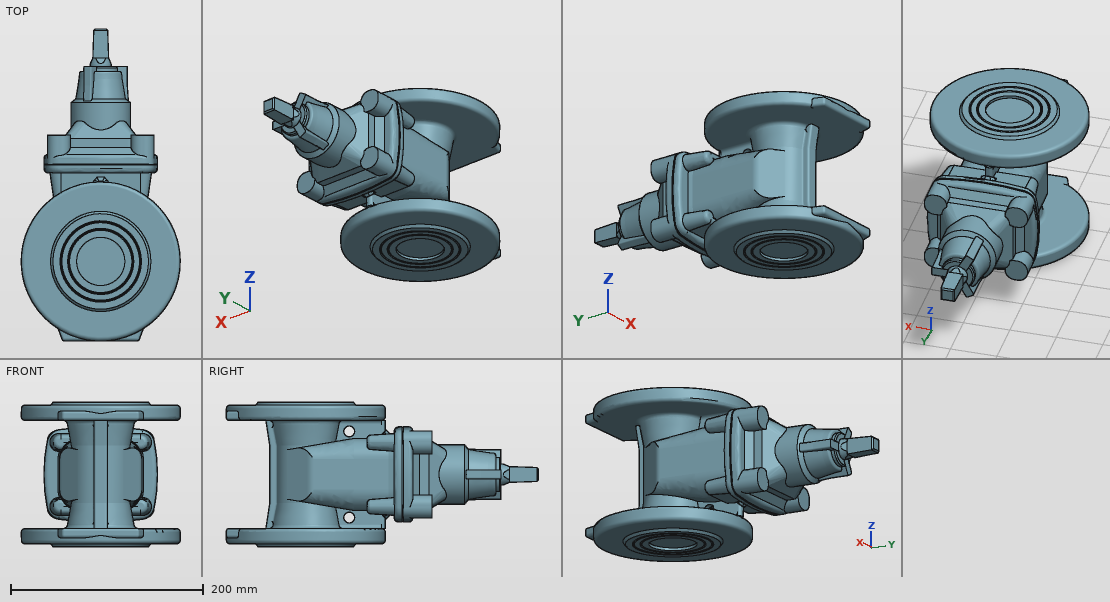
import cadquery as cq
import math


OVERLAP = 1.0
MARGIN = 1.0

FACE_TO_FACE = 150.0
HALF_LENGTH = FACE_TO_FACE / 2

FLANGE_RADIUS = 165.0 / 2
RAISED_HEIGHT = 3.0
FLANGE_THICKNESS = 16.0
FLANGE_OUTER_Z = HALF_LENGTH - RAISED_HEIGHT
FLANGE_INNER_Z = FLANGE_OUTER_Z - FLANGE_THICKNESS
FLANGE_EDGE_FILLET = 4.0
RAISED_BASE_RADIUS = 52.0
RAISED_TOP_RADIUS = 49.5
RECESS_RADIUS = 50.0 / 2
RECESS_DEPTH = 3.0
GROOVE_RADII = (33.3, 41.2)
GROOVE_WIDTH = 2.0
GROOVE_DEPTH = 0.8

FOOT_HALF_TIP = 39.5
FOOT_HALF_ROOT = 45.0
FOOT_ROOT_Y = -67.5
FOOT_HEIGHT = 10.0
FOOT_FILLET = 3.0

PIPE_RADIUS = 30.5
PIPE_STRAIGHT_Z = 30.0
PIPE_END_RADIUS = 34.5
PIPE_CONE_END_Z = 51.5
PIPE_RIB_HALF_WIDTH = 7.0
PIPE_RIB_HEIGHT = 7.0
PIPE_RIB_FILLET = 2.6
PIPE_RIB_ROOT_FILLET = 2.0

BODY_HALF_X = 42.7
BODY_HALF_Z = 37.4
BODY_FLAT_HALF_Z = 16.0
BODY_CORNER = BODY_HALF_Z - BODY_FLAT_HALF_Z
BODY_TAPER_START_Y = 50.0
BODY_END_Y = -20.0
BODY_END_HALF_Z = 25.5
BODY_SHOULDER_Y = 5.0
BODY_SHOULDER_FILLET = 10.0

WEB_HALF_WIDTH = 4.0
WEB_END_FILLET = 3.2
WEB_ROOT_FILLET = 4.0
WEB_HOLE_RADIUS = 11.0 / 2
WEB_HOLE_Y = 45.0
WEB_HOLE_Z = 44.7
WEB_TOE_HALF_WIDTH = 8.0
WEB_TOE_TIP_Y = 87.5
WEB_TOE_BASE_Z = 42.0
WEB_TOE_HEIGHT = 3.9
WEB_TOE_SLOPE = 45.0

JOINT_Y = 100.5
JOINT_BOTTOM_Y = 91.5
JOINT_TOP_Y = 111.0
JOINT_MID_X = 59.0
JOINT_MID_Z = 49.5
JOINT_CORNER_X = 53.0
JOINT_CORNER_Z = 45.0
JOINT_CORNER_FILLET = 14.0
JOINT_TOP_FILLET = 4.5
JOINT_BOTTOM_FILLET = 5.0
JOINT_GROOVE_WIDTH = 1.2
JOINT_GROOVE_DEPTH = 0.6
JOINT_FLARE_Y = 86.0
JOINT_FLARE = 4.0

BOLT_X = 43.4
BOLT_Z = 33.2
BOSS_SIDE = 24.0
BOSS_CORNER = 10.5
BOSS_TOP_Y = 131.0
FINGER_ROOT_RADIUS = 9.3
FINGER_TIP_RADIUS = 7.2
FINGER_LEAN = 2.0
FINGER_TIP_Y = 63.5
FINGER_TIP_FILLET = 4.0
SLAB_DRAFT = 1.8

BOX_HALF_X = 39.0
BOX_HALF_Z = 36.5
BOX_CORNER = 11.0
BOX_SKIRT_Y = 118.0
BOX_SKIRT_GROWTH = 9.0
BOX_TOP_Y = 127.5
BARREL_RADIUS = 62.0 / 2
BARREL_TOP_Y = 164.5
SHOULDER_TOP_Y = 146.0
SHOULDER_TOP_HALF = 25.0
HEAD_BASE_RADIUS = 26.0
HEAD_BASE_Y = 168.6
HEAD_NECK_RADIUS = 22.7
HEAD_NECK_Y = 189.0
HEAD_TOP_RADIUS = 22.0
HEAD_TOP_Y = 197.0
HEAD_TOP_ROUND = 2.5
GLAND_RADIUS = 35.7 / 2
GLAND_TOP_Y = 202.0
GLAND_CHAMFER = 1.4

LUG_COUNT = 3
LUG_HALF_WIDTH = 4.7
LUG_TIP_RADIUS = 27.7
LUG_BASE_TIP_RADIUS = 28.9
LUG_TOP_Y = 202.3
LUG_DRAFT_Y = 182.0
LUG_FILLET = 1.5

STEM_TIP_Y = 241.0
STEM_RADIUS = 22.0 / 2
STEM_NECK_RADIUS = 9.8
STEM_SQUARE_Y = 211.0
STEM_RUNOUT_Y = 205.0
STEM_COLLAR_Y = 204.0
SQUARE_TIP_HALF = 7.3
SQUARE_BASE_HALF = 8.3
SQUARE_RUNOUT_HALF = 10.8
SQUARE_TIP_CHAMFER = 1.5


def section(y):
    """Sketch plane across the stem axis; local x is X, local y is Z, extrusion goes towards -Y."""
    return cq.Workplane("XZ", origin=(0, y, 0))


def turned_about_stem(points):
    """Solid of revolution about Y from (radius, y) points."""
    return cq.Workplane("XY").polyline(points).close().revolve(360, (0, 0, 0), (0, 1, 0))


def turned_about_pipe(points):
    """Solid of revolution about Z from (radius, z) points."""
    return cq.Workplane("XZ").polyline(points).close().revolve(360, (0, 0, 0), (0, 1, 0))


def rounded_loft(low, high):
    """Ruled loft along Y between two (y, half x, half z, corner radius) rounded rectangles."""
    sketches = []
    for y, half_x, half_z, corner in (low, high):
        outline = cq.Sketch().rect(2 * half_x, 2 * half_z).vertices().fillet(corner)
        sketches.append(outline.moved(cq.Location(cq.Vector(0, 0, high[0] - y))))
    return section(high[0]).placeSketch(*sketches).loft(ruled=True)


def both_ends(solid):
    """The solid joined with its mirror image below the XY plane."""
    return solid.union(solid.mirror("XY"))


def make_flange():
    """Upper flange with raised face, blind recess, sealing grooves and a foot on the -Y rim."""
    disc = cq.Workplane("XY", origin=(0, 0, FLANGE_INNER_Z)).circle(FLANGE_RADIUS).extrude(FLANGE_THICKNESS)
    disc = disc.edges().fillet(FLANGE_EDGE_FILLET)
    raised = turned_about_pipe([
        (0, FLANGE_OUTER_Z - OVERLAP), (RAISED_BASE_RADIUS, FLANGE_OUTER_Z - OVERLAP),
        (RAISED_BASE_RADIUS, FLANGE_OUTER_Z),
        (RAISED_TOP_RADIUS, HALF_LENGTH), (0, HALF_LENGTH)])
    foot = (
        cq.Workplane("XY", origin=(0, 0, FLANGE_INNER_Z))
        .polyline([
            (-FOOT_HALF_ROOT, FOOT_ROOT_Y), (-FOOT_HALF_TIP, -FLANGE_RADIUS),
            (FOOT_HALF_TIP, -FLANGE_RADIUS), (FOOT_HALF_ROOT, FOOT_ROOT_Y)])
        .close().extrude(FOOT_HEIGHT)
        .edges("not >Y").fillet(FOOT_FILLET))
    flange = disc.union(raised).union(foot)
    face = cq.Workplane("XY", origin=(0, 0, HALF_LENGTH))
    flange = flange.cut(face.circle(RECESS_RADIUS).extrude(-RECESS_DEPTH))
    for radius in GROOVE_RADII:
        groove = turned_about_pipe([
            (radius - GROOVE_WIDTH / 2, HALF_LENGTH), (radius, HALF_LENGTH - GROOVE_DEPTH),
            (radius + GROOVE_WIDTH / 2, HALF_LENGTH)])
        flange = flange.cut(groove)
    return flange


def make_pipe():
    """Pipe that flares into both flanges, with a rib along its -Y side."""
    flare = FLANGE_INNER_Z - PIPE_CONE_END_Z
    half = (
        cq.Workplane("XZ")
        .moveTo(0, 0).lineTo(PIPE_RADIUS, 0).lineTo(PIPE_RADIUS, PIPE_STRAIGHT_Z)
        .lineTo(PIPE_END_RADIUS, PIPE_CONE_END_Z)
        .radiusArc((PIPE_END_RADIUS + flare, FLANGE_INNER_Z), flare)
        .lineTo(0, FLANGE_INNER_Z).close()
        .revolve(360, (0, 0, 0), (0, 1, 0)))
    half_rib = (
        cq.Workplane("YZ", origin=(-PIPE_RIB_HALF_WIDTH, 0, 0))
        .polyline([
            (0, 0), (-PIPE_RADIUS - PIPE_RIB_HEIGHT, 0), (-PIPE_RADIUS - PIPE_RIB_HEIGHT, PIPE_STRAIGHT_Z),
            (-PIPE_END_RADIUS - PIPE_RIB_HEIGHT, FLANGE_INNER_Z), (0, FLANGE_INNER_Z)])
        .close().extrude(2 * PIPE_RIB_HALF_WIDTH))
    rib = both_ends(half_rib)
    crest = cq.selectors.BoxSelector(
        (-PIPE_RIB_HALF_WIDTH - MARGIN, -PIPE_END_RADIUS - PIPE_RIB_HEIGHT, -FLANGE_INNER_Z + MARGIN),
        (PIPE_RIB_HALF_WIDTH + MARGIN, -PIPE_RADIUS - PIPE_RIB_HEIGHT + MARGIN, FLANGE_INNER_Z - MARGIN))
    rib = rib.edges(crest).edges("not |X").fillet(PIPE_RIB_FILLET)
    pipe = both_ends(half).union(rib)
    for side in (-1, 1):
        root = cq.selectors.BoxSelector(
            (side * (PIPE_RIB_HALF_WIDTH - MARGIN), -PIPE_END_RADIUS, -PIPE_CONE_END_Z + MARGIN),
            (side * (PIPE_RIB_HALF_WIDTH + MARGIN), 0, PIPE_CONE_END_Z - MARGIN))
        pipe = pipe.edges(root).fillet(PIPE_RIB_ROOT_FILLET)
    return pipe


def make_body():
    """Gate housing: rounded box along Y that narrows towards the pipe."""
    full = (BODY_HALF_X, BODY_HALF_Z, BODY_CORNER)
    end = (BODY_HALF_X, BODY_END_HALF_Z, BODY_END_HALF_Z - BODY_FLAT_HALF_Z)
    straight = rounded_loft((BODY_TAPER_START_Y, *full), (JOINT_Y, *full))
    tapered = rounded_loft((BODY_END_Y, *end), (BODY_TAPER_START_Y, *full))
    reach = math.hypot(BODY_HALF_X, BODY_SHOULDER_Y)
    angle = math.atan2(BODY_SHOULDER_Y, BODY_HALF_X) - math.acos(PIPE_RADIUS / reach)
    tangent_x = PIPE_RADIUS * math.cos(angle)
    tangent_y = PIPE_RADIUS * math.sin(angle)
    plan = (
        cq.Workplane("XY", origin=(0, 0, -BODY_HALF_Z))
        .polyline([
            (-BODY_HALF_X, JOINT_Y), (-BODY_HALF_X, BODY_SHOULDER_Y), (-tangent_x, tangent_y),
            (tangent_x, tangent_y), (BODY_HALF_X, BODY_SHOULDER_Y), (BODY_HALF_X, JOINT_Y)])
        .close().extrude(2 * BODY_HALF_Z))
    shoulders = cq.selectors.BoxSelector(
        (-BODY_HALF_X - MARGIN, BODY_SHOULDER_Y - MARGIN, -BODY_HALF_Z - MARGIN),
        (BODY_HALF_X + MARGIN, BODY_SHOULDER_Y + MARGIN, BODY_HALF_Z + MARGIN))
    plan = plan.edges("|Z").edges(shoulders).fillet(BODY_SHOULDER_FILLET)
    return straight.union(tapered).intersect(plan)


def make_web():
    """Upper web between housing and flange, with its lifting hole and sloped toe."""
    web = (
        cq.Workplane("XY")
        .box(2 * WEB_HALF_WIDTH, FLANGE_RADIUS, FLANGE_INNER_Z, centered=(True, False, False))
        .edges(">Y and |Z").fillet(WEB_END_FILLET))
    foot_z = FLANGE_INNER_Z - WEB_ROOT_FILLET
    foot_half = WEB_HALF_WIDTH + WEB_ROOT_FILLET
    root_end = FLANGE_RADIUS - FLANGE_EDGE_FILLET
    root = (
        section(root_end)
        .moveTo(-foot_half, FLANGE_INNER_Z)
        .radiusArc((-WEB_HALF_WIDTH, foot_z), WEB_ROOT_FILLET)
        .lineTo(WEB_HALF_WIDTH, foot_z)
        .radiusArc((foot_half, FLANGE_INNER_Z), WEB_ROOT_FILLET)
        .close().extrude(root_end))
    web = web.union(root)
    toe_start = FLANGE_RADIUS - WEB_END_FILLET
    toe = (
        cq.Workplane("XY", origin=(0, 0, WEB_TOE_BASE_Z))
        .polyline([
            (-WEB_TOE_HALF_WIDTH, toe_start), (WEB_TOE_HALF_WIDTH, toe_start),
            (WEB_TOE_HALF_WIDTH, FLANGE_RADIUS), (WEB_HALF_WIDTH, WEB_TOE_TIP_Y),
            (-WEB_HALF_WIDTH, WEB_TOE_TIP_Y), (-WEB_TOE_HALF_WIDTH, FLANGE_RADIUS)])
        .close().extrude(WEB_TOE_HEIGHT, taper=WEB_TOE_SLOPE))
    hole = (
        cq.Workplane("YZ", origin=(-WEB_HALF_WIDTH, WEB_HOLE_Y, WEB_HOLE_Z))
        .circle(WEB_HOLE_RADIUS).extrude(2 * WEB_HALF_WIDTH))
    return web.union(toe).cut(hole)


def joint_plate(top_y, bottom_y, inset=0.0):
    """Barrel shaped plate across the stem axis, with its outline moved in by the inset."""
    corner_x = JOINT_CORNER_X - inset
    corner_z = JOINT_CORNER_Z - inset
    mid_x = JOINT_MID_X - inset
    mid_z = JOINT_MID_Z - inset
    return (
        section(top_y)
        .moveTo(-corner_x, -corner_z)
        .threePointArc((0, -mid_z), (corner_x, -corner_z))
        .threePointArc((mid_x, 0), (corner_x, corner_z))
        .threePointArc((0, mid_z), (-corner_x, corner_z))
        .threePointArc((-mid_x, 0), (-corner_x, -corner_z))
        .close().extrude(top_y - bottom_y)
        .edges("|Y").fillet(JOINT_CORNER_FILLET - inset))


def make_joint():
    """Bolted joint of housing and bonnet, with a parting groove."""
    upper = joint_plate(JOINT_TOP_Y, JOINT_Y + JOINT_GROOVE_WIDTH / 2)
    upper = upper.faces(">Y").edges().fillet(JOINT_TOP_FILLET)
    lower = joint_plate(JOINT_Y - JOINT_GROOVE_WIDTH / 2, JOINT_BOTTOM_Y)
    lower = lower.faces("<Y").edges().fillet(JOINT_BOTTOM_FILLET)
    groove_floor = joint_plate(JOINT_Y + JOINT_GROOVE_WIDTH, JOINT_Y - JOINT_GROOVE_WIDTH, JOINT_GROOVE_DEPTH)
    flare = rounded_loft(
        (JOINT_FLARE_Y, BODY_HALF_X, BODY_HALF_Z, BODY_CORNER),
        (JOINT_Y, BODY_HALF_X + JOINT_FLARE, BODY_HALF_Z + JOINT_FLARE, BODY_CORNER + JOINT_FLARE))
    return upper.union(groove_floor).union(lower).union(flare)


def make_bolt_bosses():
    """Four bosses above the joint, each with a tapered finger below it."""
    boss = section(BOSS_TOP_Y).rect(BOSS_SIDE, BOSS_SIDE).extrude(BOSS_TOP_Y - JOINT_Y)
    boss = boss.edges("|Y").fillet(BOSS_CORNER)
    finger = (
        section(JOINT_BOTTOM_Y).circle(FINGER_ROOT_RADIUS)
        .workplane(offset=JOINT_BOTTOM_Y - FINGER_TIP_Y).center(-FINGER_LEAN, 0).circle(FINGER_TIP_RADIUS)
        .loft(ruled=True)
        .faces("<Y").edges().fillet(FINGER_TIP_FILLET))
    shank = section(JOINT_Y).circle(FINGER_ROOT_RADIUS).extrude(JOINT_Y - JOINT_BOTTOM_Y)
    single = boss.union(shank).union(finger).translate((BOLT_X, 0, BOLT_Z))
    pair = single.union(single.mirror("YZ"))
    return both_ends(pair)


def make_finger_slab():
    """Flat block between the fingers, level with their outer sides."""
    half_x = BOLT_X - FINGER_LEAN
    half_z = BOLT_Z + FINGER_ROOT_RADIUS
    tip_half_z = half_z - SLAB_DRAFT
    slab = (
        cq.Workplane("YZ", origin=(-half_x, 0, 0))
        .polyline([
            (JOINT_Y, -half_z), (JOINT_BOTTOM_Y, -half_z), (FINGER_TIP_Y, -tip_half_z),
            (FINGER_TIP_Y, tip_half_z), (JOINT_BOTTOM_Y, half_z), (JOINT_Y, half_z)])
        .close().extrude(2 * half_x))
    slab = slab.edges("|X and <Y").fillet(FINGER_TIP_FILLET)
    opening = cq.Workplane("XY").box(2 * BOLT_X, 2 * JOINT_Y, 2 * BOLT_Z)
    return slab.cut(opening)


def make_bonnet():
    """Bonnet: box on a sloped skirt, shoulder, round barrel, conical head and gland."""
    box = rounded_loft(
        (JOINT_Y, BOX_HALF_X, BOX_HALF_Z, BOX_CORNER), (BOX_TOP_Y, BOX_HALF_X, BOX_HALF_Z, BOX_CORNER))
    skirt = rounded_loft(
        (JOINT_TOP_Y - OVERLAP, BOX_HALF_X + BOX_SKIRT_GROWTH, BOX_HALF_Z + BOX_SKIRT_GROWTH, BOX_CORNER),
        (BOX_SKIRT_Y, BOX_HALF_X, BOX_HALF_Z, BOX_CORNER))
    shoulder = rounded_loft(
        (BOX_TOP_Y, BOX_HALF_X, BOX_HALF_Z, BOX_CORNER),
        (SHOULDER_TOP_Y, SHOULDER_TOP_HALF, SHOULDER_TOP_HALF, BOX_CORNER))
    barrel = turned_about_stem([
        (0, JOINT_Y), (BARREL_RADIUS, JOINT_Y), (BARREL_RADIUS, BARREL_TOP_Y),
        (HEAD_BASE_RADIUS, HEAD_BASE_Y), (HEAD_NECK_RADIUS, HEAD_NECK_Y),
        (HEAD_TOP_RADIUS, HEAD_TOP_Y), (0, HEAD_TOP_Y)])
    barrel = barrel.faces(">Y").edges().fillet(HEAD_TOP_ROUND)
    gland = section(GLAND_TOP_Y).circle(GLAND_RADIUS).extrude(GLAND_TOP_Y - HEAD_NECK_Y)
    gland = gland.faces(">Y").edges().chamfer(GLAND_CHAMFER)
    return box.union(skirt).union(shoulder).union(barrel).union(gland)


def make_lugs():
    """Ribs spread evenly around the head."""
    lug = (
        cq.Workplane("XY", origin=(0, 0, -LUG_HALF_WIDTH))
        .polyline([
            (0, LUG_TOP_Y), (LUG_TIP_RADIUS, LUG_TOP_Y), (LUG_TIP_RADIUS, LUG_DRAFT_Y),
            (LUG_BASE_TIP_RADIUS, BARREL_TOP_Y), (0, BARREL_TOP_Y)])
        .close().extrude(2 * LUG_HALF_WIDTH))
    tip = cq.selectors.BoxSelector(
        (LUG_TIP_RADIUS - MARGIN, BARREL_TOP_Y + MARGIN, -LUG_HALF_WIDTH - MARGIN),
        (LUG_BASE_TIP_RADIUS + MARGIN, LUG_TOP_Y - MARGIN, LUG_HALF_WIDTH + MARGIN))
    lug = lug.edges(tip).edges("not |Z").fillet(LUG_FILLET)
    lugs = cq.Workplane("XY")
    for index in range(LUG_COUNT):
        lugs = lugs.add(lug.rotate((0, 0, 0), (0, 1, 0), index * 360 / LUG_COUNT))
    return lugs.combine()


def make_stem():
    """Round stem with a tapered square end."""
    blank = turned_about_stem([
        (0, HEAD_TOP_Y), (STEM_RADIUS, HEAD_TOP_Y), (STEM_RADIUS, STEM_COLLAR_Y),
        (STEM_NECK_RADIUS, STEM_SQUARE_Y), (0, STEM_SQUARE_Y)])
    square = (
        section(STEM_TIP_Y).rect(2 * SQUARE_TIP_HALF, 2 * SQUARE_TIP_HALF)
        .workplane(offset=STEM_TIP_Y - STEM_SQUARE_Y).rect(2 * SQUARE_BASE_HALF, 2 * SQUARE_BASE_HALF)
        .loft(ruled=True).faces(">Y").edges().chamfer(SQUARE_TIP_CHAMFER))
    runout = (
        section(STEM_SQUARE_Y).rect(2 * SQUARE_BASE_HALF, 2 * SQUARE_BASE_HALF)
        .workplane(offset=STEM_SQUARE_Y - STEM_RUNOUT_Y).rect(2 * SQUARE_RUNOUT_HALF, 2 * SQUARE_RUNOUT_HALF)
        .loft(ruled=True))
    below = section(STEM_RUNOUT_Y).circle(STEM_RADIUS).extrude(STEM_RUNOUT_Y - HEAD_TOP_Y)
    return blank.intersect(runout.union(below)).union(square)


result = (
    both_ends(make_flange())
    .union(make_pipe())
    .union(make_body())
    .union(both_ends(make_web()))
    .union(make_joint())
    .union(make_bolt_bosses())
    .union(make_finger_slab())
    .union(make_bonnet())
    .union(make_lugs())
    .union(make_stem()))